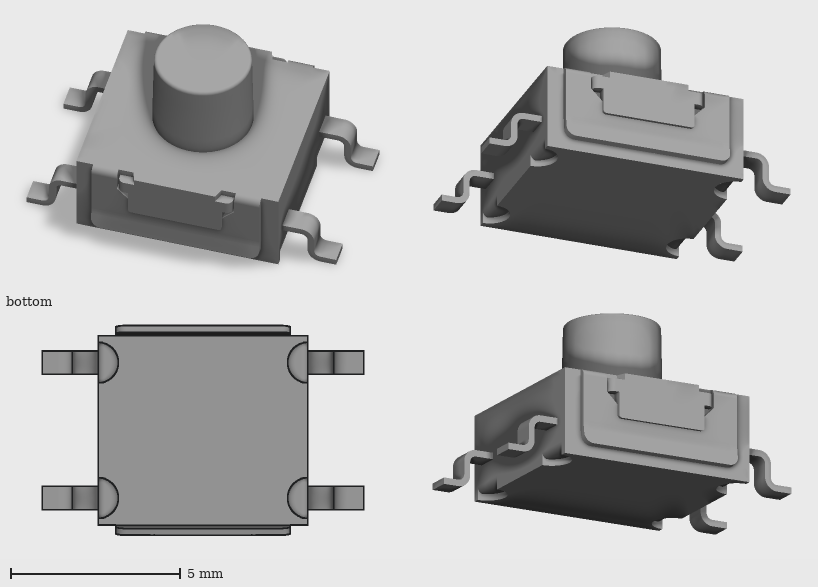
import cadquery as cq
import math

housing_x = 6.2
housing_y = 5.6
housing_height = 2.65
sheet = 0.2
cover_bottom = housing_height - sheet
half_x = housing_x / 2
half_y = housing_y / 2

total_height = 5.1
button_base_radius = 1.5
button_top_radius = 1.45
button_edge_fillet = 0.1

lead_tip_x = 4.75
lead_width = 0.7
lead_top = 1.2
lead_riser_x = 4.07
lead_inner_bend = 0.2
lead_outer_bend = lead_inner_bend + sheet
lead_y = 2.0

relief_width = 1.2
relief_height = 0.2
relief_edge_round = 0.2

clip_half_x = 2.58
clip_face_y = half_y + sheet
clip_bend_z = 0.99
clip_flare_angle = math.radians(10)
clip_bend_radius = 1.04
clip_flare_length = 0.48
clip_corner_radius = 0.3
window_half_x = 1.8
window_chamfer_z = 2.05

lug_face_y = 3.1
lug_half_x = 1.435
lug_bottom = 1.26
lug_corner_radius = 0.1
shoulder_half_x = 1.745
shoulder_round = 0.19
tongue_root_half_x = 1.35
tongue_tip_half_x = 1.24


def box(x0, x1, y0, y1, z0, z1):
    """Axis-aligned box between two corners."""
    return cq.Workplane("XY").box(x1 - x0, y1 - y0, z1 - z0, centered=False).translate((x0, y0, z0))


def both_ends(shape, plane):
    """The shape together with its mirror image."""
    return [shape, shape.mirror(plane)]


def make_relief():
    """Half-round pocket under a lead, with its mouth rounded into the -X face."""
    radius = relief_width / 2
    pocket = cq.Workplane("XY").center(-half_x, 0).circle(radius).extrude(relief_height)
    mouth_top = relief_height + relief_edge_round
    mouth = (
        cq.Workplane("XZ")
        .moveTo(-half_x, relief_height)
        .lineTo(-half_x, mouth_top)
        .radiusArc((-half_x + relief_edge_round, relief_height), -relief_edge_round)
        .close()
        .extrude(radius, both=True)
    )
    return pocket.union(mouth)


def make_housing():
    """Plastic box with a relief under each of the four leads."""
    housing = cq.Workplane("XY").box(housing_x, housing_y, cover_bottom, centered=(True, True, False))
    for relief in both_ends(make_relief(), "YZ"):
        for y in (-lead_y, lead_y):
            housing = housing.cut(relief.translate((0, y, 0)))
    return housing


def make_tongue():
    """Tapered tongue of the cover over the +Y lug."""
    return (
        cq.Workplane("XY")
        .workplane(offset=cover_bottom)
        .moveTo(-tongue_root_half_x, half_y)
        .lineTo(tongue_root_half_x, half_y)
        .lineTo(tongue_tip_half_x, lug_face_y)
        .lineTo(-tongue_tip_half_x, lug_face_y)
        .close()
        .extrude(sheet)
    )


def make_cover():
    """Flat sheet on top of the housing, with tongues on its +Y and -Y sides."""
    cover = box(-half_x, half_x, -half_y, half_y, cover_bottom, housing_height)
    for tongue in both_ends(make_tongue(), "XZ"):
        cover = cover.union(tongue)
    return cover


def make_button():
    """Slightly tapered round button with a rounded top edge."""
    return (
        cq.Workplane("XZ")
        .moveTo(0, cover_bottom)
        .lineTo(button_base_radius, cover_bottom)
        .lineTo(button_base_radius, housing_height)
        .lineTo(button_top_radius, total_height)
        .lineTo(0, total_height)
        .close()
        .revolve(360, (0, 0, 0), (0, 1, 0))
        .faces(">Z")
        .edges()
        .fillet(button_edge_fillet)
    )


def make_lead():
    """Gull-wing lead on the -X side, centred on Y = 0."""
    riser_inner_x = lead_riser_x - sheet
    upper_bend_x = lead_riser_x - lead_outer_bend
    lower_bend_x = riser_inner_x + lead_outer_bend
    upper_bend_z = lead_top - lead_outer_bend
    lower_bend_z = lead_outer_bend
    return (
        cq.Workplane("XZ")
        .moveTo(-half_x, lead_top)
        .lineTo(-upper_bend_x, lead_top)
        .radiusArc((-lead_riser_x, upper_bend_z), -lead_outer_bend)
        .lineTo(-lead_riser_x, lower_bend_z)
        .radiusArc((-lower_bend_x, sheet), lead_inner_bend)
        .lineTo(-lead_tip_x, sheet)
        .lineTo(-lead_tip_x, 0)
        .lineTo(-lower_bend_x, 0)
        .radiusArc((-riser_inner_x, lower_bend_z), -lead_outer_bend)
        .lineTo(-riser_inner_x, upper_bend_z)
        .radiusArc((-upper_bend_x, lead_top - sheet), lead_inner_bend)
        .lineTo(-half_x, lead_top - sheet)
        .close()
        .extrude(lead_width / 2, both=True)
    )


def make_clip_window():
    """Opening in the +Y clip: open at the top, with sloped lower corners running down to the lug."""
    slope = window_half_x - lug_half_x
    return (
        cq.Workplane("XZ")
        .moveTo(-window_half_x, housing_height)
        .lineTo(-window_half_x, window_chamfer_z)
        .lineTo(-lug_half_x, window_chamfer_z - slope)
        .lineTo(lug_half_x, window_chamfer_z - slope)
        .lineTo(window_half_x, window_chamfer_z)
        .lineTo(window_half_x, housing_height)
        .close()
        .extrude(-sheet)
        .translate((0, half_y, 0))
    )


def make_clip():
    """Clip on the +Y side: folded down over the housing and flared outwards at its foot."""
    sine = math.sin(clip_flare_angle)
    cosine = math.cos(clip_flare_angle)
    bend_centre_y = clip_face_y + clip_bend_radius
    inner_bend_radius = clip_bend_radius + sheet
    outer_flare = (bend_centre_y - clip_bend_radius * cosine, clip_bend_z - clip_bend_radius * sine)
    inner_flare = (bend_centre_y - inner_bend_radius * cosine, clip_bend_z - inner_bend_radius * sine)
    flare_y = clip_flare_length * sine
    flare_z = clip_flare_length * cosine
    clip = (
        cq.Workplane("YZ")
        .moveTo(half_y, housing_height)
        .radiusArc((clip_face_y, cover_bottom), sheet)
        .lineTo(clip_face_y, clip_bend_z)
        .radiusArc(outer_flare, -clip_bend_radius)
        .lineTo(outer_flare[0] + flare_y, outer_flare[1] - flare_z)
        .lineTo(inner_flare[0] + flare_y, inner_flare[1] - flare_z)
        .lineTo(*inner_flare)
        .radiusArc((half_y, clip_bend_z), inner_bend_radius)
        .close()
        .extrude(clip_half_x, both=True)
    )
    across_sheet = cq.selectors.ParallelDirSelector(cq.Vector(0, cosine, sine))
    return clip.edges(across_sheet).fillet(clip_corner_radius).cut(make_clip_window())


def make_lug():
    """Lug on the +Y side: a plain block below and a wider shoulder with rounded corners above."""
    block = box(-lug_half_x, lug_half_x, half_y, lug_face_y, lug_bottom, cover_bottom)
    block = block.faces("<Z").edges("|Y").fillet(lug_corner_radius)
    shoulder = box(-shoulder_half_x, shoulder_half_x, half_y, lug_face_y, window_chamfer_z, cover_bottom)
    shoulder = shoulder.faces(">Y").edges("|Z").fillet(shoulder_round)
    return block.union(shoulder)


result = make_housing().union(make_cover(), clean=False).union(make_button(), clean=False)

for lead in both_ends(make_lead(), "YZ"):
    for y in (-lead_y, lead_y):
        result = result.union(lead.translate((0, y, 0)), clean=False)

for side_feature in (make_clip(), make_lug()):
    for placed in both_ends(side_feature, "XZ"):
        result = result.union(placed, clean=False)